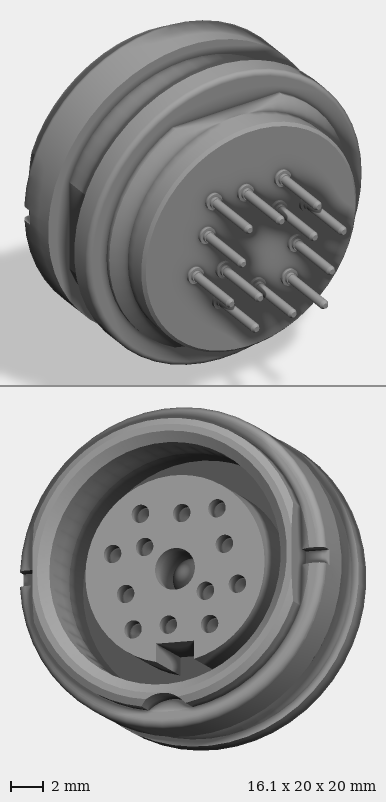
import cadquery as cq
import math


nut_front = 1.52
nut_back = 4.55
body_taper_start = 6.75
flange_front = 7.48
flange_back = 9.05
shoulder_end = 9.35
rear_cone_end = 10.1
housing_back = 11.82
pin_end = 16.05

body_radius = 9.0
body_face_radius = 8.58
body_chamfer_length = 0.28
body_taper_radius = 8.7
body_flat_half_width = 8.45
flange_radius = 10.0
flange_fillet = 0.32
shoulder_radius = 8.65
shoulder_flat_half_height = 7.75
rear_radius = 7.8
rear_chamfer = 0.2

groove_radius = 1.85
groove_depth = 0.8

seal_front = 7.18
seal_section_radius = 0.75
seal_center_radius = 8.95

nut_radius = flange_radius
nut_fillet = 0.45
nut_bore_radius = 8.2
nut_bore_mouth_radius = 9.05
nut_bore_mouth_length = 0.4
nut_slot_width = 0.95
nut_slot_depth = 0.98

bore_radius = 15.1 / 2
bore_rear_radius = 15.18 / 2
bore_mouth_radius = 8.15
bore_mouth_length = 0.52
bore_step = 3.95
bore_floor = 6.4

insert_front = 2.25
insert_radius = 11.7 / 2
key_width = 2.48
key_top = -4.58
center_hole_radius = 2.6 / 2
center_dome_depth = 2.0

socket_radius = 1.15 / 2
socket_depth = 1.0
cone_radius = 1.0 / 2
cone_depth = 0.3
pin_radius = 0.6 / 2
pin_tip_chamfer = 0.2
pin_tip_inset = 0.12
pin_collar_radius = 1.1 / 2
pin_collar_length = 0.22
pin_neck_radius = 0.35
pin_neck_length = 0.2

pattern_tilt = 37.5
half_pattern = [
    (2.5, 0),
    (4.25, -20.5),
    (4.25, 20.5),
    (3.48, 59.7),
    (4.5, 90),
    (3.48, 120.3),
]


def revolve_about_x(profile):
    """Turn a closed (x, radius) profile in the XY plane into a solid around the X axis."""
    return profile.close().revolve(360, (0, 0, 0), (1, 0, 0))


def rod(start, end, radius):
    return cq.Workplane("YZ", origin=(start, 0, 0)).circle(radius).extrude(end - start)


def block(x_range, y_range, z_range):
    spans = [high - low for low, high in (x_range, y_range, z_range)]
    return cq.Workplane("XY", origin=(x_range[0], y_range[0], z_range[0])).box(*spans, centered=False)


def make_body():
    """Threaded front sleeve with two side flats and a locating groove underneath."""
    body = revolve_about_x(
        cq.Workplane("XY").polyline([
            (0, 0),
            (0, body_face_radius),
            (body_chamfer_length, body_radius),
            (body_taper_start, body_radius),
            (flange_front, body_taper_radius),
            (flange_front, 0),
        ])
    )
    body = body.intersect(block(
        (0, flange_front),
        (-body_flat_half_width, body_flat_half_width),
        (-body_radius, body_radius),
    ))
    groove_center = -(body_radius - groove_depth + groove_radius)
    groove = rod(0, flange_front, groove_radius).translate((0, 0, groove_center))
    return body.cut(groove)


def make_flange():
    flange = rod(flange_front, flange_back, flange_radius)
    return flange.faces(">X").edges().fillet(flange_fillet)


def make_rear_housing():
    """Shoulder with flats above and below, coned down to the round rear end."""
    shoulder = revolve_about_x(
        cq.Workplane("XY").polyline([
            (flange_back, 0),
            (flange_back, shoulder_radius),
            (shoulder_end, shoulder_radius),
            (rear_cone_end, rear_radius),
            (rear_cone_end, 0),
        ])
    )
    shoulder = shoulder.intersect(block(
        (flange_back, rear_cone_end),
        (-shoulder_radius, shoulder_radius),
        (-shoulder_flat_half_height, shoulder_flat_half_height),
    ))
    rear = rod(rear_cone_end, housing_back, rear_radius)
    return shoulder.union(rear.faces(">X").edges().chamfer(rear_chamfer))


def make_seal():
    seal_center = (seal_front + seal_section_radius, seal_center_radius)
    section = cq.Workplane("XY").center(*seal_center).circle(seal_section_radius)
    return section.revolve(360, (0, -seal_center_radius, 0), (1, -seal_center_radius, 0))


def make_nut():
    """Ring nut with a rounded front edge, a coned bore mouth and two spanner slots.

    Its bore is smaller than the body, so it also fills the gaps over the flats and the groove.
    """
    nut = rod(nut_front, nut_back, nut_radius).faces("<X").edges().fillet(nut_fillet)
    thread_bore = revolve_about_x(
        cq.Workplane("XY").polyline([
            (nut_front, 0),
            (nut_front, nut_bore_mouth_radius),
            (nut_front + nut_bore_mouth_length, nut_bore_radius),
            (nut_back, nut_bore_radius),
            (nut_back, 0),
        ])
    )
    nut = nut.cut(thread_bore)
    for side in (-1, 1):
        y_limits = sorted((side * body_flat_half_width, side * nut_radius))
        nut = nut.cut(block(
            (nut_front, nut_front + nut_slot_depth),
            y_limits,
            (-nut_slot_width / 2, nut_slot_width / 2),
        ))
    return nut


def make_bore():
    """Space inside the sleeve, in front of its floor."""
    return revolve_about_x(
        cq.Workplane("XY").polyline([
            (0, 0),
            (0, bore_mouth_radius),
            (bore_mouth_length, bore_radius),
            (bore_step, bore_radius),
            (bore_step, bore_rear_radius),
            (bore_floor, bore_rear_radius),
            (bore_floor, 0),
        ])
    )


def make_insert():
    """Contact carrier with a keyway and a central hole that ends in a dome."""
    insert = rod(insert_front, bore_floor, insert_radius)
    insert = insert.cut(block(
        (insert_front, bore_floor),
        (-key_width / 2, key_width / 2),
        (-insert_radius, key_top),
    ))
    dome_base = insert_front + center_dome_depth + center_hole_radius
    insert = insert.cut(rod(insert_front, dome_base, center_hole_radius))
    dome = cq.Workplane("XY", origin=(dome_base, 0, 0)).sphere(center_hole_radius)
    return insert.union(dome)


def make_socket():
    """Contact hole ending in a smaller conical seat."""
    seat = insert_front + socket_depth
    return revolve_about_x(
        cq.Workplane("XY").polyline([
            (insert_front, 0),
            (insert_front, socket_radius),
            (seat, socket_radius),
            (seat, cone_radius),
            (seat + cone_depth, 0),
        ])
    )


def make_pin():
    """Collared solder pin with a tapered tip."""
    collar_end = housing_back + pin_collar_length
    neck_end = collar_end + pin_neck_length
    pin_root = rear_cone_end
    return revolve_about_x(
        cq.Workplane("XY").polyline([
            (pin_root, 0),
            (pin_root, pin_collar_radius),
            (collar_end, pin_collar_radius),
            (collar_end, pin_neck_radius),
            (neck_end, pin_neck_radius),
            (neck_end, pin_radius),
            (pin_end - pin_tip_chamfer, pin_radius),
            (pin_end, pin_radius - pin_tip_inset),
            (pin_end, 0),
        ])
    )


def contact_positions():
    for half_turn in (0, 180):
        for radius, angle in half_pattern:
            turn = math.radians(pattern_tilt + angle + half_turn)
            yield (0, radius * math.cos(turn), radius * math.sin(turn))


result = make_body().union(make_flange()).union(make_rear_housing())
result = result.union(make_seal()).union(make_nut())
result = result.cut(make_bore()).union(make_insert())

socket = make_socket()
pin = make_pin()
for position in contact_positions():
    result = result.cut(socket.translate(position))
    result = result.union(pin.translate(position))